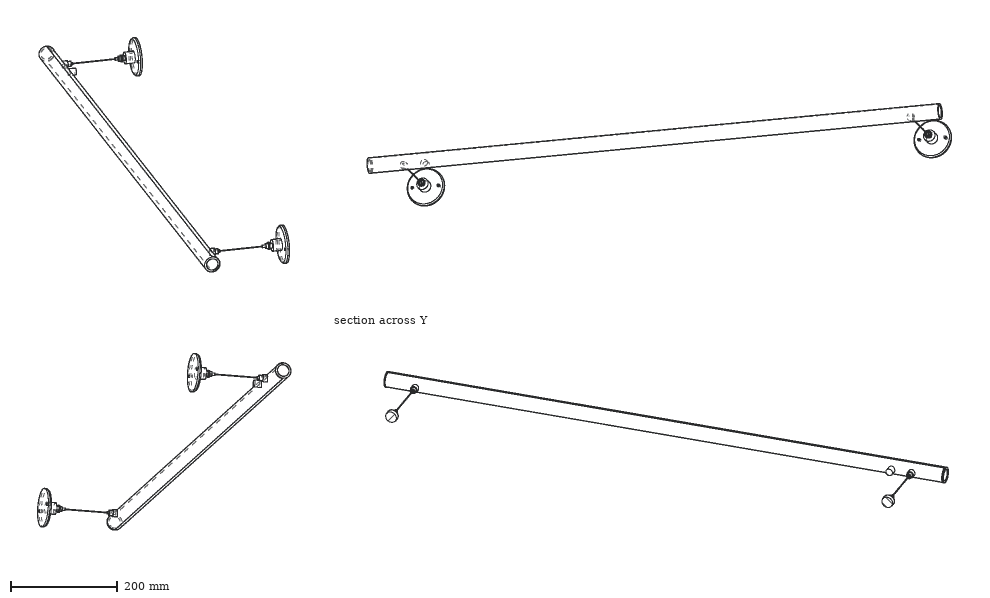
import cadquery as cq

LAMP_LENGTH = 1126.0
LAMP_DIAMETER = 30.0
LAMP_RADIUS = LAMP_DIAMETER / 2
BACK_DIAMETER = 29.0
CAP_LENGTH = 2.0
CAP_RECESS_DIAMETER = 23.0
CAP_RECESS_DEPTH = 1.0
COVER_LENGTH = LAMP_LENGTH - 2 * CAP_LENGTH
MIDDLE_COVER_LENGTH = 878.0
END_COVER_LENGTH = (COVER_LENGTH - MIDDLE_COVER_LENGTH) / 2

GLAND_X = -459.0
GLAND_DIAMETER = 14.0
GLAND_BACK_Y = 27.0

TOTAL_DEPTH = 175.0
WALL_Y = TOTAL_DEPTH - LAMP_RADIUS
SUSPENSION_X = 500.0

PLATE_DIAMETER = 73.0
PLATE_FRONT_DIAMETER = 69.0
PLATE_RIM_THICKNESS = 3.0
PLATE_BEVEL_DEPTH = 3.0
PLATE_FRONT_Y = WALL_Y - PLATE_RIM_THICKNESS - PLATE_BEVEL_DEPTH
SCREW_HOLE_DIAMETER = 5.0
SCREW_HOLE_OFFSET = 26.0

POST_DIAMETER = 23.0
POST_END_Y = 135.0

NECK_DIAMETER = 9.8
COLLAR_DIAMETER = 14.0
GRIP_DIAMETER = 10.0
TIP_DIAMETER = 5.0
CABLE_DIAMETER = 1.5
NECK_END_Y = 130.0
UPPER_COLLAR_END_Y = 127.0
UPPER_GRIP_END_Y = 123.0
UPPER_TIP_END_Y = 116.0
LOWER_TIP_END_Y = 33.0
LOWER_GRIP_END_Y = 29.0
LOWER_COLLAR_END_Y = 23.0


def half_round(diameter, side, x_start, length):
    """Half cylinder along X; side is -1 for the front (-Y) half and 1 for the back half."""
    radius = diameter / 2
    return (
        cq.Workplane("YZ", origin=(x_start, 0, 0))
        .moveTo(0, -radius)
        .threePointArc((side * radius, 0), (0, radius))
        .close()
        .extrude(length)
    )


def along_y(diameter, y_start, y_end):
    """Cylinder on the Y axis from y_start to the larger y_end."""
    return cq.Workplane("XZ", origin=(0, y_end, 0)).circle(diameter / 2).extrude(y_end - y_start)


def make_end_cap(side):
    """Flat disc on one end of the lamp with a shallow round recess in its outer face."""
    end_x = side * LAMP_LENGTH / 2
    face = cq.Workplane("YZ", origin=(end_x, 0, 0))
    disc = face.circle(LAMP_RADIUS).extrude(-side * CAP_LENGTH)
    recess = face.circle(CAP_RECESS_DIAMETER / 2).extrude(-side * CAP_RECESS_DEPTH)
    return disc.cut(recess)


def make_lamp():
    lamp = half_round(BACK_DIAMETER, 1, -COVER_LENGTH / 2, COVER_LENGTH)

    cover_x = -COVER_LENGTH / 2
    for length in (END_COVER_LENGTH, MIDDLE_COVER_LENGTH, END_COVER_LENGTH):
        lamp = lamp.union(half_round(LAMP_DIAMETER, -1, cover_x, length), clean=False)
        cover_x += length

    for side in (-1, 1):
        lamp = lamp.union(make_end_cap(side), clean=False)

    gland = along_y(GLAND_DIAMETER, 0, GLAND_BACK_Y).translate((GLAND_X, 0, 0))
    return lamp.union(gland, clean=False).solids()


def make_wall_plate():
    rim_front_y = WALL_Y - PLATE_RIM_THICKNESS
    rim = along_y(PLATE_DIAMETER, rim_front_y, WALL_Y)
    bevel = (
        cq.Workplane("XZ", origin=(0, rim_front_y, 0))
        .circle(PLATE_DIAMETER / 2)
        .workplane(offset=PLATE_BEVEL_DEPTH)
        .circle(PLATE_FRONT_DIAMETER / 2)
        .loft()
    )
    plate = rim.union(bevel)
    for side in (-1, 1):
        hole = along_y(SCREW_HOLE_DIAMETER, PLATE_FRONT_Y, WALL_Y)
        plate = plate.cut(hole.translate((side * SCREW_HOLE_OFFSET, 0, 0)))
    return plate


def make_suspension(x):
    stack = (
        (POST_DIAMETER, POST_END_Y, PLATE_FRONT_Y),
        (NECK_DIAMETER, NECK_END_Y, POST_END_Y),
        (COLLAR_DIAMETER, UPPER_COLLAR_END_Y, NECK_END_Y),
        (GRIP_DIAMETER, UPPER_GRIP_END_Y, UPPER_COLLAR_END_Y),
        (TIP_DIAMETER, UPPER_TIP_END_Y, UPPER_GRIP_END_Y),
        (CABLE_DIAMETER, LOWER_TIP_END_Y, UPPER_TIP_END_Y),
        (TIP_DIAMETER, LOWER_GRIP_END_Y, LOWER_TIP_END_Y),
        (GRIP_DIAMETER, LOWER_COLLAR_END_Y, LOWER_GRIP_END_Y),
        (COLLAR_DIAMETER, 0, LOWER_COLLAR_END_Y),
    )
    suspension = make_wall_plate()
    for diameter, y_start, y_end in stack:
        suspension = suspension.union(along_y(diameter, y_start, y_end))

    lamp_back = cq.Workplane("YZ").circle(BACK_DIAMETER / 2).extrude(COLLAR_DIAMETER, both=True)
    return suspension.cut(lamp_back).translate((x, 0, 0)).solids()


lamp = make_lamp()
suspensions = [make_suspension(side * SUSPENSION_X) for side in (-1, 1)]

result = cq.Compound.makeCompound([lamp.val(), *[body.val() for body in suspensions]])